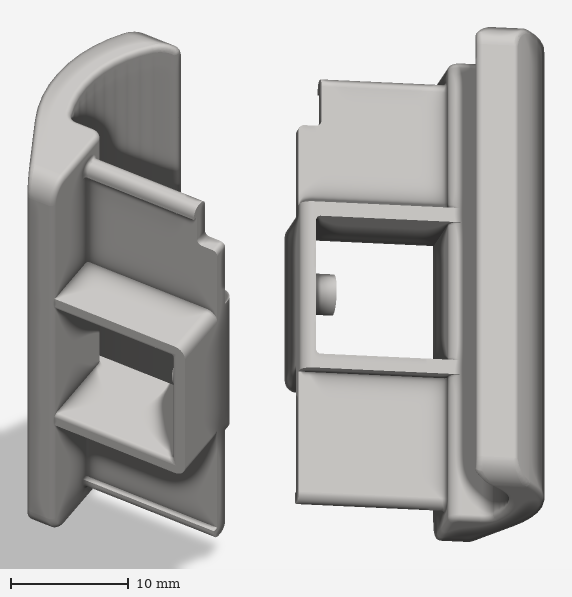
import cadquery as cq
import math

LENGTH = 20.0
WIDTH = 21.9
HEIGHT = 40.35

OUTER_RADIUS = 13.0
SHELL_THICKNESS = 3.0
INNER_RADIUS = OUTER_RADIUS - SHELL_THICKNESS
ARC_CENTER_Y = 12.7
TANGENT_ANGLE = math.radians(25.5)
SHELL_BACK_X = 7.2
SHOULDER_Y = 8.55
SHOULDER_RADIUS = 1.0
SHELL_CORNER_RADIUS = 2.0
SHELL_EDGE_RADIUS = 0.5

PLATE_BACK_Y = 7.05
PLATE_FRONT_Y = 5.73
PLATE_HEIGHT = 37.35
BEAD_FRONT_Y = 5.2
BEAD_HEIGHT = 1.1
BEAD_RADIUS = 0.75
NOTCH_X = 18.03
NOTCH_FLOOR_Z = 14.4
NOTCH_RADIUS = 0.5
PLATE_ROOT_FILLET = 0.25

BOX_FRONT_Y = 0.3
BOX_HEIGHT = 14.65
BOX_WALL = 1.25
BOX_CORNER_RADIUS = 1.0
WINDOW_CORNER_RADIUS = 0.4
WINDOW_RIM_RADIUS = 0.35

PIN_DIAMETER = 3.5
PIN_LENGTH = 2.0
PIN_Y = 5.45

PICK_MARGIN = 0.05


def make_shell():
    """Hooked profile along Z, trimmed to a rounded rectangle and rounded on its rims."""
    def on_arc(radius, angle):
        return (
            OUTER_RADIUS - radius * math.cos(angle),
            ARC_CENTER_Y + radius * math.sin(angle),
        )

    top_angle = math.asin((WIDTH - ARC_CENTER_Y) / OUTER_RADIUS)
    tip_angle = math.acos((OUTER_RADIUS - SHELL_BACK_X) / INNER_RADIUS)
    shoulder_angle = math.asin((SHOULDER_Y - ARC_CENTER_Y) / INNER_RADIUS)
    tangent_point = on_arc(OUTER_RADIUS, -TANGENT_ANGLE)
    foot_x = tangent_point[0] + tangent_point[1] * math.tan(TANGENT_ANGLE)

    profile = (
        cq.Workplane("XY", origin=(0, 0, -HEIGHT / 2))
        .moveTo(foot_x, 0)
        .lineTo(*tangent_point)
        .threePointArc(on_arc(OUTER_RADIUS, 0), on_arc(OUTER_RADIUS, top_angle))
        .lineTo(SHELL_BACK_X, WIDTH)
        .lineTo(*on_arc(INNER_RADIUS, tip_angle))
        .threePointArc(on_arc(INNER_RADIUS, 0), on_arc(INNER_RADIUS, shoulder_angle))
        .lineTo(SHELL_BACK_X, SHOULDER_Y)
        .lineTo(SHELL_BACK_X, 0)
        .close()
        .extrude(HEIGHT)
    )
    inner_corner = on_arc(INNER_RADIUS, shoulder_angle)
    for corner in (inner_corner, (SHELL_BACK_X, SHOULDER_Y)):
        nearest = cq.NearestToPointSelector((*corner, 0))
        profile = profile.edges("|Z").edges(nearest).fillet(SHOULDER_RADIUS)

    outline = (
        cq.Workplane("YZ")
        .center(WIDTH / 2, 0)
        .rect(WIDTH, HEIGHT)
        .extrude(SHELL_BACK_X)
        .edges("|X")
        .fillet(SHELL_CORNER_RADIUS)
    )
    return profile.intersect(outline).edges().fillet(SHELL_EDGE_RADIUS)


def block(x_range, y_range, z_range):
    """Axis-aligned block given by its limits along each axis."""
    sizes = [high - low for low, high in (x_range, y_range, z_range)]
    corner = cq.Vector(x_range[0], y_range[0], z_range[0])
    return cq.Workplane("XY").box(*sizes, centered=False).translate(corner)


def pick_box(x_range, y_range, z_range):
    """Selector for edges whose centers lie within the given limits."""
    lows, highs = zip(x_range, y_range, z_range)
    return cq.selectors.BoxSelector(
        [low - PICK_MARGIN for low in lows],
        [high + PICK_MARGIN for high in highs],
    )


def make_bead(edge_side):
    """Rounded strip along the upper (+1) or lower (-1) edge of the plate."""
    edge_z = edge_side * PLATE_HEIGHT / 2
    inner_z = edge_z - edge_side * BEAD_HEIGHT
    return (
        block(
            (SHELL_BACK_X, LENGTH),
            (BEAD_FRONT_Y, PLATE_BACK_Y),
            sorted((inner_z, edge_z)),
        )
        .faces(">Z" if edge_side > 0 else "<Z")
        .edges("|X")
        .fillet(BEAD_RADIUS)
    )


def make_plate():
    """Plate with a bead along each edge and a stepped notch in the upper free corner."""
    plate = block(
        (SHELL_BACK_X, LENGTH),
        (PLATE_FRONT_Y, PLATE_BACK_Y),
        (BEAD_HEIGHT - PLATE_HEIGHT / 2, PLATE_HEIGHT / 2 - BEAD_HEIGHT),
    )
    for edge_side in (1, -1):
        plate = plate.union(make_bead(edge_side))

    notch = block(
        (NOTCH_X, LENGTH),
        (BEAD_FRONT_Y, PLATE_BACK_Y),
        (NOTCH_FLOOR_Z, PLATE_HEIGHT / 2),
    )
    plate = plate.cut(notch)
    notch_middle_y = (PLATE_FRONT_Y + PLATE_BACK_Y) / 2
    for corner_x in (NOTCH_X, LENGTH):
        corner = cq.NearestToPointSelector((corner_x, notch_middle_y, NOTCH_FLOOR_Z))
        plate = plate.edges("|Y").edges(corner).fillet(NOTCH_RADIUS)
    return plate


def make_box():
    """U-shaped box wall that opens toward the shell, with a rounded front rim inside."""
    start_x = SHELL_BACK_X - SHOULDER_RADIUS
    end_x = LENGTH - BOX_WALL
    half_height = BOX_HEIGHT / 2
    half_window = half_height - BOX_WALL
    front = (
        block((start_x, LENGTH), (BOX_FRONT_Y, PLATE_BACK_Y), (-half_height, half_height))
        .faces(">X")
        .edges("|Y")
        .fillet(BOX_CORNER_RADIUS)
    )
    back = (
        block((start_x, LENGTH), (PLATE_BACK_Y, SHOULDER_Y), (-half_height, half_height))
        .faces(">X")
        .edges(">Y")
        .fillet(BOX_CORNER_RADIUS)
    )
    window = block((start_x, end_x), (BOX_FRONT_Y, SHOULDER_Y), (-half_window, half_window))
    window_z = (-half_window, half_window)
    window_rim = pick_box((start_x, end_x), (BOX_FRONT_Y, BOX_FRONT_Y), window_z)
    window_corners = pick_box((end_x, end_x), (BOX_FRONT_Y, SHOULDER_Y), window_z)
    box = (
        front.union(back)
        .cut(window)
        .edges(window_rim)
        .fillet(WINDOW_RIM_RADIUS)
        .edges("|Y")
        .edges(window_corners)
        .fillet(WINDOW_CORNER_RADIUS)
    )
    return box, window


def make_pin():
    """Round pin pointing from the end wall of the box toward the shell."""
    wall_x = LENGTH - BOX_WALL
    return (
        cq.Workplane("YZ", origin=(wall_x - PIN_LENGTH, PIN_Y, 0))
        .circle(PIN_DIAMETER / 2)
        .extrude(PIN_LENGTH + BOX_WALL / 2)
    )


def add_plate(shell):
    """Join the plate to the shell and fillet its root on the flat back of the shell."""
    half_height = PLATE_HEIGHT / 2
    root = pick_box(
        (SHELL_BACK_X, SHELL_BACK_X),
        (BEAD_FRONT_Y, PLATE_BACK_Y),
        (-half_height, half_height),
    )
    return shell.union(make_plate()).edges(root).fillet(PLATE_ROOT_FILLET)


shell = make_shell()
box, window = make_box()
result = add_plate(shell).cut(window).union(shell).union(box).union(make_pin())